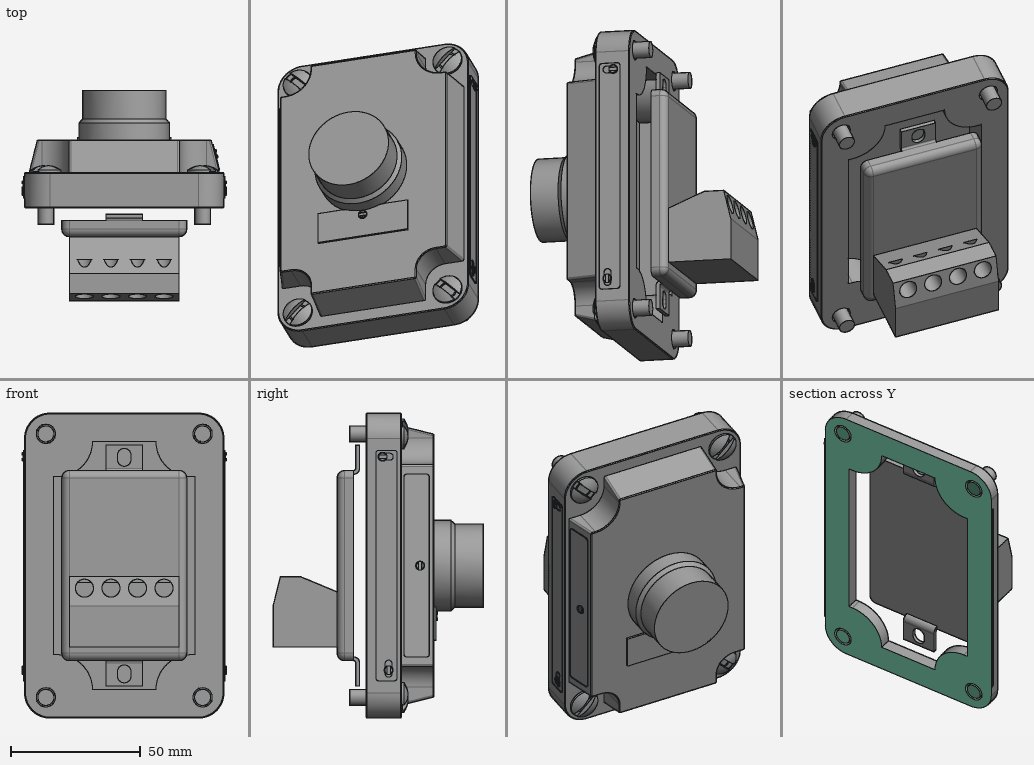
import cadquery as cq
import math


flange_width = 76.9
flange_height = 117.6
flange_depth = 13.6
flange_corner_radius = 9.8
edge_break = 0.4

front_y = 26.2
front_half_width = 33.5
front_half_height = 50.7
side_slope_deg = 14.0
scallop_x = 21.3
scallop_z = 38.9
upper_scallop_radius = 10.3
lower_scallop_radius = 7.9
slope_edge_fillet = 0.7

pocket_depth = 12.9
pocket_half_width = 27.3
pocket_half_height = 34.3
pocket_neck_half_width = 12.2
pocket_neck_top = 47.9
pocket_corner_radius = pocket_neck_top - pocket_half_height

panel_thickness = 0.4
panel_near_y = 14.6
panel_far_y = 24.3
panel_height = 70.6
panel_corner_radius = 1.2
panel_rivet_y = 20.7

screw_x = 30.2
screw_z = 50.8
screw_hole_diameter = 7.4
shank_diameter = 6.2
shank_end_y = -6.4
head_diameter = 11.5
head_rim_height = 0.9
head_height = 2.7
drive_slot_width = 2.8
drive_slot_depth = 2.4

rivet_diameter = 3.4
rivet_height = 0.6
rivet_chamfer = 0.2
rivet_slot_width = 1.3
rivet_slot_depth = 0.4

side_plate_thickness = 0.4
side_plate_height = 88.9
side_plate_near_y = 3.8
side_plate_far_y = 12.0
side_plate_corner_radius = 1.2
slot_width = 2.7
upper_slot_start_y = 4.9
upper_slot_end_y = 10.5
upper_slot_z = 42.0
upper_rivet_y = 6.4
lower_slot_y = 8.7
lower_slot_top_z = -36.5
lower_slot_bottom_z = -43.0
lower_rivet_z = -40.3

knob_base_radius = 17.5
knob_grip_radius = 16.1
knob_shoulder_y = 32.7
knob_grip_y = 34.2
knob_end_y = 45.3

label_half_width = 18.1
label_top_z = -16.0
label_bottom_z = -28.8
label_thickness = 0.8
label_rivet_z = -19.5

module_width = 48.2
module_height = 73.4
module_front_y = -4.8
module_rear_y = -11.2
module_edge_radius = 2.9

terminal_half_width = module_width / 2 - module_edge_radius
terminal_rear_y = -35.9
terminal_bottom_z = -31.4
terminal_root_z = -10.1
terminal_top_z = -4.2
terminal_top_start_y = -25.3
terminal_top_end_y = -33.0
terminal_chamfer_z = -15.5
wire_hole_count = 4
wire_hole_pitch = 10.2
wire_hole_diameter = 6.9
wire_hole_z = -8.7
wire_hole_end_y = -20.0

tab_half_width = 7.0
tab_thickness = 1.5
tab_front_y = -2.5
tab_end_z = 46.5
tab_bend_radius = 0.8
tab_root_z = module_height / 2
tab_hole_width = 5.2
tab_hole_height = 6.9
tab_hole_z = 41.7

CORNERS = [(sx, sz) for sx in (-1, 1) for sz in (-1, 1)]


def xz_plane(y):
    """Sketch plane at the given Y, with sketch axes along X and Z and extrusion toward +Y."""
    return cq.Workplane(cq.Plane((0, y, 0), (-1, 0, 0), (0, 1, 0)))


def make_rivet(base, normal, slot_direction):
    """A rivet head standing on a surface, with a slot across it."""
    plane = cq.Plane(base, slot_direction, normal)
    head = cq.Workplane(plane).circle(rivet_diameter / 2).extrude(rivet_height)
    head = head.faces(cq.DirectionMinMaxSelector(plane.zDir, True)).edges().chamfer(rivet_chamfer)
    slot = (
        cq.Workplane(plane)
        .workplane(offset=rivet_height - rivet_slot_depth)
        .rect(rivet_diameter, rivet_slot_width)
        .extrude(rivet_slot_depth)
    )
    return head.cut(slot)



def make_flange():
    flange = xz_plane(0).rect(flange_width, flange_height).extrude(flange_depth)
    flange = flange.edges("|Y").fillet(flange_corner_radius)
    return flange.faces("<Y or >Y").edges().chamfer(edge_break)


def make_scallop_cutter(radius):
    """Corner relief with a rounded inner corner, for the +X +Z corner."""
    reach = flange_height
    return (
        cq.Workplane(cq.Plane((0, flange_depth, 0), (1, 0, 0), (0, -1, 0)))
        .moveTo(scallop_x, reach)
        .lineTo(scallop_x, scallop_z + radius)
        .radiusArc((scallop_x + radius, scallop_z), -radius)
        .lineTo(reach, scallop_z)
        .lineTo(reach, reach)
        .close()
        .extrude(-(front_y - flange_depth))
    )


def make_raised_front():
    depth = front_y - flange_depth
    spread = depth * math.tan(math.radians(side_slope_deg))
    front = (
        xz_plane(flange_depth)
        .rect(2 * (front_half_width + spread), 2 * (front_half_height + spread))
        .extrude(depth, taper=side_slope_deg)
    )
    upper_scallop = make_scallop_cutter(upper_scallop_radius)
    lower_scallop = make_scallop_cutter(lower_scallop_radius).mirror("XY")
    for scallop in (upper_scallop, lower_scallop):
        front = front.cut(scallop).cut(scallop.mirror("YZ"))
    sloped_edges = [
        edge for edge in front.edges("%LINE").vals() if 0.9 < abs(edge.tangentAt(0).y) < 0.999
    ]
    front = front.newObject(sloped_edges).fillet(slope_edge_fillet)
    return front.faces(">Y").edges().chamfer(edge_break)


def make_pocket():
    """Rectangular pocket with a narrower neck above and below, joined by quarter arcs."""
    w, h = pocket_half_width, pocket_half_height
    neck, top = pocket_neck_half_width, pocket_neck_top
    shoulder, r = neck + pocket_corner_radius, pocket_corner_radius
    return (
        xz_plane(0)
        .moveTo(-w, -h)
        .lineTo(-shoulder, -h)
        .radiusArc((-neck, -top), r)
        .lineTo(neck, -top)
        .radiusArc((shoulder, -h), r)
        .lineTo(w, -h)
        .lineTo(w, h)
        .lineTo(shoulder, h)
        .radiusArc((neck, top), r)
        .lineTo(-neck, top)
        .radiusArc((-shoulder, h), r)
        .lineTo(-w, h)
        .close()
        .extrude(pocket_depth)
    )


def make_sloped_panel():
    """Thin raised panel and rivet lying on the sloped +X side."""
    slope = math.radians(side_slope_deg)
    normal = cq.Vector(math.cos(slope), math.sin(slope), 0)

    def slope_point(y):
        return cq.Vector(front_half_width + (front_y - y) * math.tan(slope), y, 0)

    plane = cq.Plane(slope_point((panel_near_y + panel_far_y) / 2), (0, 0, 1), normal)
    panel = (
        cq.Workplane(plane)
        .rect(panel_height, (panel_far_y - panel_near_y) / math.cos(slope))
        .extrude(panel_thickness)
        .edges(cq.ParallelDirSelector(normal))
        .fillet(panel_corner_radius)
    )
    rivet_base = slope_point(panel_rivet_y) + normal * panel_thickness
    return panel.union(make_rivet(rivet_base, normal, (0, 0, 1)))


def make_housing():
    screw_holes = (
        xz_plane(0)
        .rect(2 * screw_x, 2 * screw_z, forConstruction=True)
        .vertices()
        .circle(screw_hole_diameter / 2)
        .extrude(flange_depth)
    )
    housing = make_flange().union(make_raised_front()).union(make_sloped_panel())
    return housing.cut(make_pocket()).cut(screw_holes)



def make_screw(sx, sz):
    """Domed screw whose drive slot points along the corner diagonal."""
    head_radius = head_diameter / 2
    dome_y = flange_depth + head_rim_height
    dome_rise = head_height - head_rim_height
    dome_radius = (head_radius**2 + dome_rise**2) / (2 * dome_rise)
    screw = (
        cq.Workplane("XY")
        .moveTo(0, shank_end_y)
        .lineTo(shank_diameter / 2, shank_end_y)
        .lineTo(shank_diameter / 2, flange_depth)
        .lineTo(head_radius, flange_depth)
        .lineTo(head_radius, dome_y)
        .radiusArc((0, flange_depth + head_height), -dome_radius)
        .close()
        .revolve(360, (0, 0, 0), (0, 1, 0))
    )
    head_top = flange_depth + head_height
    slot = (
        cq.Workplane("XY")
        .box(2 * head_diameter, drive_slot_depth, drive_slot_width)
        .translate((0, head_top - drive_slot_depth / 2, 0))
        .rotate((0, 0, 0), (0, 1, 0), -45 * sx * sz)
    )
    return screw.cut(slot).translate((sx * screw_x, 0, sz * screw_z))



def make_side_plate():
    """Plate on the -X side of the flange, with two slots partly covered by rivets."""
    outer_x = -flange_width / 2 - side_plate_thickness
    middle_y = (side_plate_near_y + side_plate_far_y) / 2
    plate = (
        cq.Workplane("XY")
        .box(side_plate_thickness, side_plate_far_y - side_plate_near_y, side_plate_height)
        .edges("|X")
        .fillet(side_plate_corner_radius)
        .translate((outer_x + side_plate_thickness / 2, middle_y, 0))
    )
    upper_slot = (
        cq.Workplane("YZ", origin=(outer_x, 0, 0))
        .center((upper_slot_start_y + upper_slot_end_y) / 2, upper_slot_z)
        .slot2D(upper_slot_end_y - upper_slot_start_y, slot_width)
        .extrude(side_plate_thickness)
    )
    lower_slot = (
        cq.Workplane("YZ", origin=(outer_x, 0, 0))
        .center(lower_slot_y, (lower_slot_top_z + lower_slot_bottom_z) / 2)
        .slot2D(lower_slot_top_z - lower_slot_bottom_z, slot_width, 90)
        .extrude(side_plate_thickness)
    )
    upper_rivet = make_rivet((outer_x, upper_rivet_y, upper_slot_z), (-1, 0, 0), (0, 1, 0))
    lower_rivet = make_rivet((outer_x, lower_slot_y, lower_rivet_z), (-1, 0, 0), (0, 0, 1))
    return plate.cut(upper_slot).cut(lower_slot).union(upper_rivet).union(lower_rivet)



def make_knob():
    return (
        cq.Workplane("XY")
        .moveTo(0, front_y)
        .lineTo(knob_base_radius, front_y)
        .lineTo(knob_base_radius, knob_shoulder_y)
        .lineTo(knob_grip_radius, knob_grip_y)
        .lineTo(knob_grip_radius, knob_end_y)
        .lineTo(0, knob_end_y)
        .close()
        .revolve(360, (0, 0, 0), (0, 1, 0))
    )


def make_label():
    """Label plate on the housing front, notched around the knob."""
    label = (
        xz_plane(front_y)
        .center(0, (label_top_z + label_bottom_z) / 2)
        .rect(2 * label_half_width, label_top_z - label_bottom_z)
        .extrude(label_thickness)
    )
    rivet = make_rivet((0, front_y + label_thickness, label_rivet_z), (0, 1, 0), (1, 0, 0))
    return label.union(rivet).cut(make_knob())



def make_module_body():
    body = xz_plane(module_rear_y).rect(module_width, module_height).extrude(module_front_y - module_rear_y)
    return body.edges("|Y").fillet(module_edge_radius).faces("<Y").edges().fillet(module_edge_radius)


def make_terminal_block():
    block = (
        cq.Workplane("YZ", origin=(-terminal_half_width, 0, 0))
        .polyline([
            (module_rear_y, terminal_bottom_z),
            (module_rear_y, terminal_root_z),
            (terminal_top_start_y, terminal_top_z),
            (terminal_top_end_y, terminal_top_z),
            (terminal_rear_y, terminal_chamfer_z),
            (terminal_rear_y, terminal_bottom_z),
        ])
        .close()
        .extrude(2 * terminal_half_width)
    )
    wire_holes = (
        xz_plane(terminal_rear_y)
        .center(0, wire_hole_z)
        .rarray(wire_hole_pitch, 1.2, wire_hole_count, 1)
        .circle(wire_hole_diameter / 2)
        .extrude(wire_hole_end_y - terminal_rear_y)
    )
    return block.cut(wire_holes)


def make_tab():
    """Upper mounting tab: a strip bent off the module face, with an oblong hole."""
    rear_y = tab_front_y - tab_thickness
    outer_bend = tab_bend_radius + tab_thickness
    bend_z = tab_root_z + tab_bend_radius
    strip = (
        cq.Workplane("YZ", origin=(-tab_half_width, 0, 0))
        .moveTo(module_front_y, tab_root_z)
        .radiusArc((rear_y, bend_z), -tab_bend_radius)
        .lineTo(rear_y, tab_end_z)
        .lineTo(tab_front_y, tab_end_z)
        .lineTo(tab_front_y, bend_z)
        .radiusArc((module_front_y, bend_z - outer_bend), outer_bend)
        .close()
        .extrude(2 * tab_half_width)
    )
    hole = (
        xz_plane(rear_y)
        .center(0, tab_hole_z)
        .slot2D(tab_hole_height, tab_hole_width, 90)
        .extrude(tab_thickness)
    )
    return strip.cut(hole)


def make_module():
    tab = make_tab()
    return make_module_body().union(make_terminal_block()).union(tab).union(tab.mirror("XY"))



housing = make_housing()
screws = [make_screw(sx, sz) for sx, sz in CORNERS]
side_plate = make_side_plate()
side_plates = [side_plate, side_plate.mirror("YZ")]
knob = make_knob()
label = make_label()
module = make_module()

result = cq.Compound.makeCompound([
    housing.val(),
    *[screw.val() for screw in screws],
    *[plate.val() for plate in side_plates],
    knob.val(),
    label.val(),
    module.val(),
])